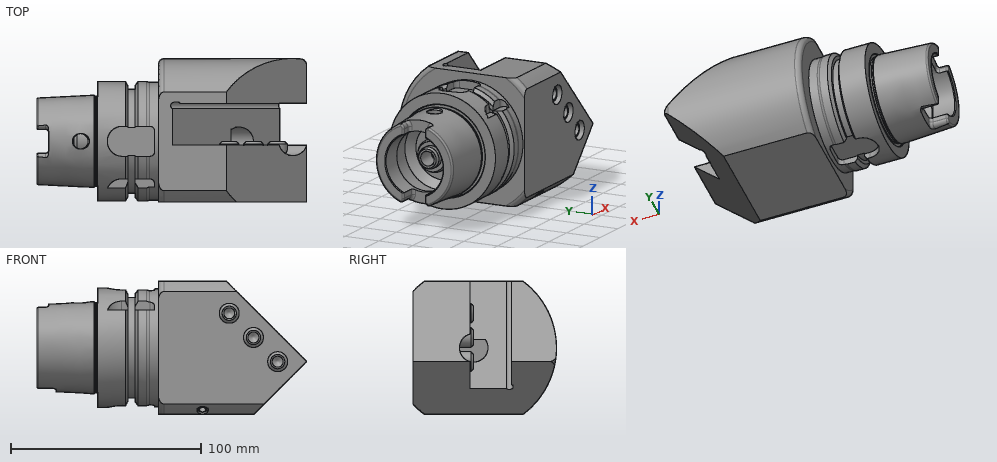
import cadquery as cq
import math


SHANK_LENGTH = 32.0
GAUGE_RADIUS = 24.1
GAUGE_X = -6.3
TAPER_SLOPE = 1.0 / 20.0
TAPER_END_X = -1.9
MOUTH_ROUND = 1.0
RELIEF_RADIUS = 23.9
RELIEF_CHAMFER = 0.4
UNDERCUT_START_X = -0.8
UNDERCUT_RADIUS = 23.6
UNDERCUT_CHAMFER = RELIEF_RADIUS - UNDERCUT_RADIUS
UNDERCUT_FACE_DEPTH = 0.4
UNDERCUT_FACE_RADIUS = 25.1
UNDERCUT_FACE_CHAMFER = 0.4

BORE_RADIUS = 17.0
BORE_CHAMFER = 0.5
LIP_X = -19.3
LIP_ANGLE = 60.0
CHAMBER_RADIUS = 20.0
BORE_FLOOR_RADIUS = 15.7
BORE_FLOOR_X = 0.0

NUT_DIAMETER = 18.0
NUT_FACE_X = -12.4
TUBE_DIAMETER = 12.0
TUBE_FACE_X = -17.0
TUBE_CHAMFER = 0.8
TUBE_CHAMFER_LENGTH = 1.6
TUBE_HOLE_DIAMETER = 8.0
TUBE_HOLE_DEPTH = 12.0

ACCESS_X = -9.0
ACCESS_DIAMETER = 8.0
ACCESS_CHAMFER = 0.5

NOTCH_HALF_WIDTH = 6.2
NOTCH_FLARE_RADIUS = 2.5
NOTCH_FLARE_OVERRUN = 0.5
NOTCH_RUNOUT = 4.0
NOTCH_CORNER_RADIUS = 1.6
NOTCH_TOP_FLOOR_X = -25.7
NOTCH_BOTTOM_FLOOR_X = -21.8

FLANGE_RADIUS = 31.5
FLANGE_LENGTH = 32.0
FLANGE_STEP_START_X = 25.8
FLANGE_STEP_END_X = 27.2
FLANGE_REAR_RADIUS = 31.1
GROOVE_BOTTOM_RADIUS = 27.5
GROOVE_FRONT_X = 16.0
GROOVE_REAR_X = 19.8
GROOVE_FRONT_FLANK = (1.3, 2.4)
GROOVE_REAR_FLANK = (1.5, 2.0)

KEY_START_X = 5.1
SIDE_POCKET_START_X = 4.6
POCKET_END_X = 30.0
POCKET_WIDTH = 15.8
POCKET_CORNER_RADIUS = 2.5
KEY_FLOOR_Z = 26.5
SIDE_POCKET_EDGE_Y = -19.8
SIDE_POCKET_FLOOR_Z = 19.8

BODY_HALF_HEIGHT = 35.0
BODY_FRONT_Y = -32.0
BODY_ARC_START_Y = 26.0
BODY_RADIUS = math.hypot(BODY_ARC_START_Y, BODY_HALF_HEIGHT)
BODY_ROUND = 3.0
TIP_X = 110.0
TIP_Z = -7.25

SLOT_DEPTH = 20.0
SLOT_BOTTOM_Y = -2.0
SLOT_TOP_Y = 20.0
SLOT_RELIEF_RADIUS = 2.0
SLOT_RELIEF_INSET = 1.25

TIP_BORE_DIAMETER = 15.0
TIP_BORE_END_X = 70.2

SCREW_DIAMETER = 10.5
SCREW_END_DIAMETER = 7.5
SCREW_SOCKET_DIAMETER = 5.77
SCREW_SOCKET_DEPTH = 5.0
SCREW_RECESS = 2.0
SCREW_TIP_Y = 0.0
SCREW_COUNT = 3
SCREW_PITCH = 18.0
SCREW_FROM_BEVEL = 10.85
LAST_SCREW_Z = -7.3

PLUG_X = 55.2
PLUG_ANGLE = 49.0
PLUG_DIAMETER = 6.0
PLUG_END_DIAMETER = 4.3
PLUG_SOCKET_DIAMETER = 3.46
PLUG_SOCKET_DEPTH = 3.0
PLUG_RECESS = 0.5
PLUG_LENGTH = 6.0

DRILL_POINT_ANGLE = 118.0
CLEARANCE = 60.0
TOLERANCE = 0.01
DIAGONAL = math.sqrt(0.5)


def taper_radius(x):
    return GAUGE_RADIUS + (x - GAUGE_X) * TAPER_SLOPE


def revolve_about_x(points):
    """Solid of revolution about the X axis from (x, radius) points."""
    return cq.Workplane("XY").polyline(points).close().revolve(360, (0, 0, 0), (1, 0, 0))


def stepped_pin(start, direction, profile):
    """Solid of revolution about a free axis from (distance, radius) points."""
    plane = cq.Plane(origin=start, xDir=direction, normal=cross_axis(direction))
    return cq.Workplane(plane).polyline(profile).close().revolve(360, (0, 0, 0), (1, 0, 0))


def cross_axis(direction):
    """A direction square to the given one."""
    helper = cq.Vector(0, 0, 1) if abs(direction[2]) < DIAGONAL else cq.Vector(1, 0, 0)
    return cq.Vector(*direction).cross(helper)


def drill(start, direction, diameter, depth):
    """Blind hole with a conical drill point past its full-diameter depth."""
    radius = diameter / 2
    point = radius / math.tan(math.radians(DRILL_POINT_ANGLE / 2))
    return stepped_pin(start, direction, [(0, 0), (0, radius), (depth, radius), (depth + point, 0)])


def offset_point(start, direction, distance):
    return tuple(s + d * distance for s, d in zip(start, direction))


def shank():
    mouth_x = -SHANK_LENGTH
    stem = revolve_about_x([
        (mouth_x, 0),
        (mouth_x, taper_radius(mouth_x)),
        (TAPER_END_X, taper_radius(TAPER_END_X)),
        (TAPER_END_X + RELIEF_CHAMFER, RELIEF_RADIUS),
        (UNDERCUT_START_X, RELIEF_RADIUS),
        (UNDERCUT_START_X + UNDERCUT_CHAMFER, UNDERCUT_RADIUS),
        (UNDERCUT_FACE_DEPTH, UNDERCUT_RADIUS),
        (UNDERCUT_FACE_DEPTH, 0),
    ])
    top_notch = drive_notch(NOTCH_TOP_FLOOR_X)
    bottom_notch = drive_notch(NOTCH_BOTTOM_FLOOR_X).mirror("XY")
    stem = stem.cut(top_notch).cut(bottom_notch)
    stem = stem.faces("<X").edges().fillet(MOUTH_ROUND)
    return stem.cut(access_hole()).cut(shank_bore())


def drive_notch(floor_x):
    """Notch through the +Z half of the shank mouth, its flanks flaring out to the taper."""
    rim = taper_radius(-SHANK_LENGTH) + NOTCH_FLARE_OVERRUN
    centre_y = NOTCH_HALF_WIDTH + NOTCH_FLARE_RADIUS
    centre_z = math.sqrt((rim - NOTCH_FLARE_RADIUS) ** 2 - centre_y**2)
    end_angle = math.atan2(centre_z, centre_y)

    def flare_point(angle):
        return (
            centre_y + NOTCH_FLARE_RADIUS * math.cos(angle),
            centre_z + NOTCH_FLARE_RADIUS * math.sin(angle),
        )

    middle_y, middle_z = flare_point((math.pi + end_angle) / 2)
    end_y, end_z = flare_point(end_angle)
    outer_y = end_y + NOTCH_RUNOUT * math.sin(end_angle)
    outer_z = end_z - NOTCH_RUNOUT * math.cos(end_angle)
    top_z = 2 * rim
    notch = (
        cq.Workplane("YZ", origin=(-SHANK_LENGTH, 0, 0))
        .moveTo(-NOTCH_HALF_WIDTH, 0)
        .lineTo(NOTCH_HALF_WIDTH, 0)
        .lineTo(NOTCH_HALF_WIDTH, centre_z)
        .threePointArc((middle_y, middle_z), (end_y, end_z))
        .lineTo(outer_y, outer_z)
        .lineTo(outer_y, top_z)
        .lineTo(-outer_y, top_z)
        .lineTo(-outer_y, outer_z)
        .lineTo(-end_y, end_z)
        .threePointArc((-middle_y, middle_z), (-NOTCH_HALF_WIDTH, centre_z))
        .close()
        .extrude(floor_x + SHANK_LENGTH)
    )
    flanks = cq.selectors.BoxSelector(
        (floor_x - TOLERANCE, -outer_y + TOLERANCE, TOLERANCE),
        (floor_x + TOLERANCE, outer_y - TOLERANCE, outer_z + NOTCH_RUNOUT),
    )
    return notch.edges(flanks).fillet(NOTCH_CORNER_RADIUS)


def shank_bore():
    """Bore with a lip at the mouth and a wider chamber behind it, narrowing to the floor."""
    mouth_x = -SHANK_LENGTH
    flare_length = (CHAMBER_RADIUS - BORE_RADIUS) / math.tan(math.radians(LIP_ANGLE))
    floor_cone_length = CHAMBER_RADIUS - BORE_FLOOR_RADIUS
    return revolve_about_x([
        (mouth_x, 0),
        (mouth_x, BORE_RADIUS + BORE_CHAMFER),
        (mouth_x + BORE_CHAMFER, BORE_RADIUS),
        (LIP_X, BORE_RADIUS),
        (LIP_X + flare_length, CHAMBER_RADIUS),
        (BORE_FLOOR_X - floor_cone_length, CHAMBER_RADIUS),
        (BORE_FLOOR_X, BORE_FLOOR_RADIUS),
        (BORE_FLOOR_X, 0),
    ])


def flange():
    front_dx, front_dr = GROOVE_FRONT_FLANK
    rear_dx, rear_dr = GROOVE_REAR_FLANK
    blank = revolve_about_x([
        (BORE_FLOOR_X, 0),
        (BORE_FLOOR_X, UNDERCUT_RADIUS),
        (UNDERCUT_FACE_DEPTH, UNDERCUT_RADIUS),
        (UNDERCUT_FACE_DEPTH, UNDERCUT_FACE_RADIUS),
        (0, UNDERCUT_FACE_RADIUS + UNDERCUT_FACE_CHAMFER),
        (0, FLANGE_RADIUS),
        (GROOVE_FRONT_X - front_dx, FLANGE_RADIUS),
        (GROOVE_FRONT_X, FLANGE_RADIUS - front_dr),
        (GROOVE_FRONT_X, GROOVE_BOTTOM_RADIUS),
        (GROOVE_REAR_X, GROOVE_BOTTOM_RADIUS),
        (GROOVE_REAR_X, FLANGE_RADIUS - rear_dr),
        (GROOVE_REAR_X + rear_dx, FLANGE_RADIUS),
        (FLANGE_STEP_START_X, FLANGE_RADIUS),
        (FLANGE_STEP_END_X, FLANGE_REAR_RADIUS),
        (FLANGE_LENGTH, FLANGE_REAR_RADIUS),
        (FLANGE_LENGTH, 0),
    ])
    key_pocket = flange_pocket(KEY_START_X, 0, KEY_FLOOR_Z)
    side_centre_y = SIDE_POCKET_EDGE_Y - POCKET_WIDTH / 2
    side_pocket = flange_pocket(SIDE_POCKET_START_X, side_centre_y, SIDE_POCKET_FLOOR_Z)
    return blank.cut(key_pocket).cut(key_pocket.mirror("XY")).cut(side_pocket)


def flange_pocket(start_x, centre_y, floor_z):
    """Pocket open to +Z, with a full-round front end and small corners at the rear."""
    half = POCKET_WIDTH / 2
    arc_x = start_x + half
    return (
        cq.Workplane("XY", origin=(0, centre_y, floor_z))
        .moveTo(POCKET_END_X, -half)
        .lineTo(POCKET_END_X, half)
        .lineTo(arc_x, half)
        .threePointArc((start_x, 0), (arc_x, -half))
        .close()
        .extrude(FLANGE_RADIUS)
        .edges("|Z and >X")
        .fillet(POCKET_CORNER_RADIUS)
    )


def body():
    length = TIP_X - FLANGE_LENGTH
    round_bar = cq.Workplane("YZ", origin=(FLANGE_LENGTH, 0, 0)).circle(BODY_RADIUS).extrude(length)
    round_bar = round_bar.faces("<X or >X").edges().fillet(BODY_ROUND)
    upper_run = BODY_HALF_HEIGHT - TIP_Z
    lower_run = BODY_HALF_HEIGHT + TIP_Z
    outline = (
        cq.Workplane("XZ", origin=(0, BODY_FRONT_Y, 0))
        .moveTo(FLANGE_LENGTH, BODY_HALF_HEIGHT)
        .lineTo(TIP_X - upper_run, BODY_HALF_HEIGHT)
        .lineTo(TIP_X, TIP_Z)
        .lineTo(TIP_X - lower_run, -BODY_HALF_HEIGHT)
        .lineTo(FLANGE_LENGTH, -BODY_HALF_HEIGHT)
        .close()
        .extrude(-2 * BODY_RADIUS)
    )
    return round_bar.intersect(outline)


def tool_slot():
    """Square slot under the upper bevel, with a round relief in one floor corner."""
    bevel_down = cq.Vector(DIAGONAL, 0, -DIAGONAL)
    floor_x = TIP_X - SLOT_DEPTH * DIAGONAL
    floor_z = TIP_Z - SLOT_DEPTH * DIAGONAL
    start = cq.Vector(floor_x, 0, floor_z) - bevel_down * (2 * CLEARANCE)
    plane = cq.Plane(origin=start, xDir=(0, 1, 0), normal=bevel_down)
    out = 1 if plane.yDir.x > 0 else -1
    width = SLOT_TOP_Y - SLOT_BOTTOM_Y
    channel = (
        cq.Workplane(plane)
        .center(SLOT_BOTTOM_Y + width / 2, out * SLOT_DEPTH)
        .rect(width, 2 * SLOT_DEPTH)
        .extrude(3 * CLEARANCE)
    )
    relief = (
        cq.Workplane(plane)
        .center(SLOT_TOP_Y - SLOT_RELIEF_INSET, out * SLOT_RELIEF_INSET)
        .circle(SLOT_RELIEF_RADIUS)
        .extrude(3 * CLEARANCE)
    )
    return channel.union(relief)


def tip_bore():
    return (
        cq.Workplane("YZ", origin=(TIP_BORE_END_X, 0, 0))
        .circle(TIP_BORE_DIAMETER / 2)
        .extrude(TIP_X - TIP_BORE_END_X)
    )


def add_set_screw(part, mouth, direction, sizes, recess, length):
    """Sink a recess at the mouth and fill the hole below it with a chamfered socket screw."""
    diameter, end_diameter, socket_diameter, socket_depth = sizes
    radius = diameter / 2
    end_radius = end_diameter / 2
    chamfer = radius - end_radius
    head = offset_point(mouth, direction, recess)
    screw = stepped_pin(head, direction, [
        (0, 0),
        (0, end_radius),
        (chamfer, radius),
        (length - chamfer, radius),
        (length, end_radius),
        (length, 0),
    ])
    above = offset_point(mouth, direction, -recess - chamfer)
    opening_depth = 2 * recess + 2 * chamfer
    opening = stepped_pin(above, direction, [(0, 0), (0, radius), (opening_depth, radius), (opening_depth, 0)])
    socket = drill(head, direction, socket_diameter, socket_depth)
    return part.cut(opening).union(screw).cut(socket)


def add_clamp_screws(part):
    sizes = (SCREW_DIAMETER, SCREW_END_DIAMETER, SCREW_SOCKET_DIAMETER, SCREW_SOCKET_DEPTH)
    length = SCREW_TIP_Y - BODY_FRONT_Y - SCREW_RECESS
    axis_sum = TIP_X + TIP_Z - SCREW_FROM_BEVEL / DIAGONAL
    for index in range(SCREW_COUNT):
        z = LAST_SCREW_Z + index * SCREW_PITCH * DIAGONAL
        mouth = (axis_sum - z, BODY_FRONT_Y, z)
        part = add_set_screw(part, mouth, (0, 1, 0), sizes, SCREW_RECESS, length)
    return part


def add_coolant_plug(part):
    angle = math.radians(PLUG_ANGLE)
    inward = (0, math.cos(angle), math.sin(angle))
    mouth = offset_point((PLUG_X, 0, 0), inward, -BODY_RADIUS)
    sizes = (PLUG_DIAMETER, PLUG_END_DIAMETER, PLUG_SOCKET_DIAMETER, PLUG_SOCKET_DEPTH)
    return add_set_screw(part, mouth, inward, sizes, PLUG_RECESS, PLUG_LENGTH)


def access_hole():
    """Radial hole from the bore out through the +Z side, countersunk on the taper."""
    surface = (ACCESS_X, 0, taper_radius(ACCESS_X))
    radius = ACCESS_DIAMETER / 2
    wide = radius + 2 * ACCESS_CHAMFER
    depth = taper_radius(ACCESS_X) - BORE_RADIUS
    above = offset_point(surface, (0, 0, 1), ACCESS_CHAMFER)
    return stepped_pin(above, (0, 0, -1), [
        (0, 0),
        (0, wide),
        (2 * ACCESS_CHAMFER, radius),
        (depth, radius),
        (depth, 0),
    ])


def coolant_tube():
    nut_radius = NUT_DIAMETER / 2
    tube_radius = TUBE_DIAMETER / 2
    tube = revolve_about_x([
        (TUBE_FACE_X, 0),
        (TUBE_FACE_X, tube_radius - TUBE_CHAMFER),
        (TUBE_FACE_X + TUBE_CHAMFER_LENGTH, tube_radius),
        (NUT_FACE_X, tube_radius),
        (NUT_FACE_X, nut_radius - TUBE_CHAMFER),
        (NUT_FACE_X + TUBE_CHAMFER_LENGTH, nut_radius),
        (BORE_FLOOR_X, nut_radius),
        (BORE_FLOOR_X, 0),
    ])
    return tube.cut(drill((TUBE_FACE_X, 0, 0), (1, 0, 0), TUBE_HOLE_DIAMETER, TUBE_HOLE_DEPTH))


holder = body().cut(tool_slot()).cut(tip_bore())
holder = add_clamp_screws(holder)
holder = add_coolant_plug(holder)
holder = holder.union(flange()).union(shank()).union(coolant_tube())
result = holder